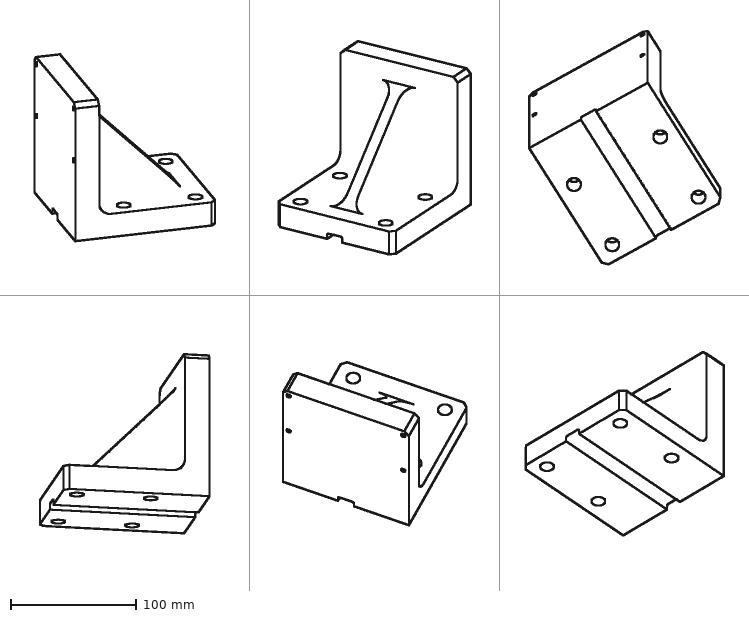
import cadquery as cq

width = 110.0
side_length = 118.0
plate_thickness = 20.1
corner_chamfer = 4.0

rib_thickness = 10.0
rib_reach = 100.0
blend_radius = 10.0

base_hole_diameter = 11.0
base_hole_spacing_x = 80.0
base_hole_spacing_y = 60.0
base_hole_edge_distance = 13.0

face_hole_diameter = 3.4
face_hole_depth = 10.0
face_hole_spacing_x = 100.0
face_hole_spacing_z = 44.6
face_hole_edge_distance = 5.8

keyway_width = 14.0
keyway_depth = 5.0
keyway_radius = 1.5


def extrude_across(profile, length):
    """Extrude a YZ profile symmetrically about X = 0."""
    return profile.extrude(length / 2, both=True)


def make_plates():
    """L-shaped body with a rounded inner corner and chamfered outer corners."""
    profile = (
        cq.Workplane("YZ")
        .polyline([
            (0, 0),
            (side_length, 0),
            (side_length, plate_thickness),
            (plate_thickness, plate_thickness),
            (plate_thickness, side_length),
            (0, side_length),
        ])
        .close()
    )
    plates = extrude_across(profile, width)
    inner_corner = cq.selectors.NearestToPointSelector((0, plate_thickness, plate_thickness))
    plates = plates.edges("|X").edges(inner_corner).fillet(blend_radius)
    plates = plates.faces(">Z").edges("|Y").chamfer(corner_chamfer)
    return plates.faces(">Y").edges("|Z").chamfer(corner_chamfer)


def make_rib():
    """Triangular rib whose sides flare into the plates with concave blends."""
    profile = (
        cq.Workplane("YZ")
        .polyline([
            (0, 0),
            (rib_reach + plate_thickness, 0),
            (0, rib_reach + plate_thickness),
        ])
        .close()
    )
    rib = extrude_across(profile, rib_thickness + 2 * blend_radius)
    inside = cq.Workplane("XY").box(
        width, rib_reach, rib_reach, centered=(True, False, False)
    )
    rib = rib.intersect(inside)

    relief = (
        cq.Workplane("XY")
        .box(width, side_length, side_length, centered=False)
        .edges("(<X and <Y) or (<X and <Z) or (<Y and <Z)")
        .fillet(blend_radius)
        .translate((rib_thickness / 2, plate_thickness, plate_thickness))
    )
    return rib.cut(relief).cut(relief.mirror("YZ"))


def make_base_holes():
    center_y = side_length - base_hole_edge_distance - base_hole_spacing_y / 2
    return (
        cq.Workplane("XY")
        .center(0, center_y)
        .rarray(base_hole_spacing_x, base_hole_spacing_y, 2, 2)
        .circle(base_hole_diameter / 2)
        .extrude(plate_thickness)
    )


def make_face_holes():
    center_z = side_length - face_hole_edge_distance - face_hole_spacing_z / 2
    return (
        cq.Workplane("XZ")
        .center(0, center_z)
        .rarray(face_hole_spacing_x, face_hole_spacing_z, 2, 2)
        .circle(face_hole_diameter / 2)
        .extrude(-face_hole_depth)
    )


def make_keyway():
    return (
        cq.Workplane("XY")
        .box(keyway_width, side_length, keyway_depth, centered=(True, False, False))
        .edges("|Y and >Z")
        .fillet(keyway_radius)
    )


result = (
    make_plates()
    .union(make_rib())
    .cut(make_base_holes())
    .cut(make_face_holes())
    .cut(make_keyway())
)